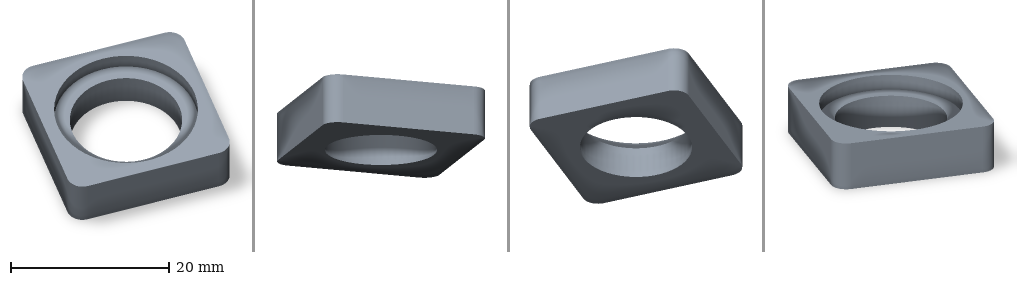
import cadquery as cq

side = 21.55
height = 6.3
corner_radius = 2.0

bore_diameter = 14.2
recess_diameter = 18.19
recess_depth = 2.0

body = (
    cq.Workplane("XY")
    .rect(side, side)
    .extrude(height)
    .edges("|Z")
    .fillet(corner_radius)
)

result = (
    body.faces(">Z")
    .workplane()
    .cboreHole(bore_diameter, recess_diameter, recess_depth)
)